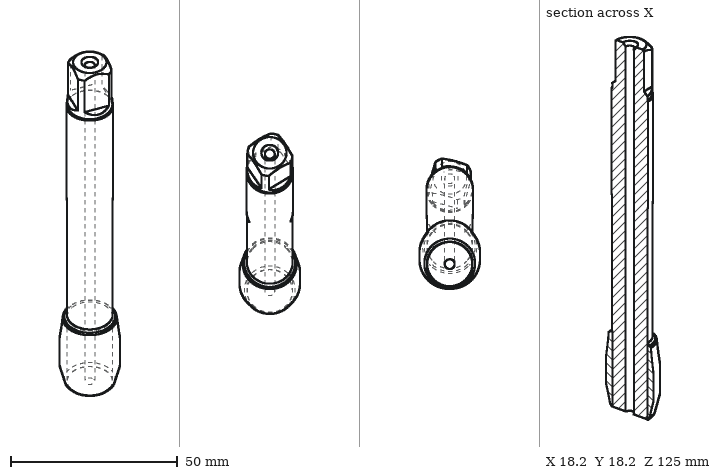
import cadquery as cq

total_height = 125.0

head_diameter = 18.2
head_tip_diameter = 15.2
head_foot_diameter = 13.8
head_top = 25.4
head_top_chamfer = 0.5
barrel_top = 16.4
barrel_bottom = 7.0
foot_chamfer_height = 0.9

shank_diameter = 14.0
relief_diameter = 13.8
neck_diameter = 13.5
neck_base = 108.0
neck_step_height = 0.4
relief_top = 72.1
relief_bottom = 71.4
collar_height = 0.8
collar_radius = relief_diameter / 2 + collar_height
core_diameter = 13.5

square_width = 11.0
flat_bottom = 111.0
drive_top_diameter = 10.0
drive_chamfer_height = 1.8

bore_diameter = 3.0
countersink_diameter = 5.0
countersink_depth = 1.1


def revolve_profile(points):
    """Revolve (radius, height) points about the Z axis."""
    return cq.Workplane("XZ").polyline(points).close().revolve(360, (0, 0, 0), (0, 1, 0))


def make_shank_blank():
    shank_radius = shank_diameter / 2
    relief_radius = relief_diameter / 2
    core_radius = core_diameter / 2
    neck_radius = neck_diameter / 2
    return revolve_profile([
        (0, 0),
        (core_radius, 0),
        (core_radius, head_top),
        (collar_radius, head_top),
        (relief_radius, head_top + collar_height),
        (relief_radius, relief_bottom),
        (shank_radius, relief_top),
        (shank_radius, neck_base),
        (neck_radius, neck_base + neck_step_height),
        (neck_radius, total_height - drive_chamfer_height),
        (drive_top_diameter / 2, total_height),
        (0, total_height),
    ])


def make_flat_cutter():
    """Cutter for one drive flat on the +X side, ending in a 45 degree run-out."""
    flat_offset = square_width / 2
    shank_radius = shank_diameter / 2
    runout_length = shank_radius - flat_offset
    return (
        cq.Workplane("XZ")
        .polyline([
            (flat_offset, flat_bottom),
            (shank_radius, flat_bottom - runout_length),
            (shank_radius, total_height),
            (flat_offset, total_height),
        ])
        .close()
        .extrude(shank_radius, both=True)
    )


def make_bore_cutter():
    bore_radius = bore_diameter / 2
    return revolve_profile([
        (0, 0),
        (bore_radius, 0),
        (bore_radius, total_height - countersink_depth),
        (countersink_diameter / 2, total_height),
        (0, total_height),
    ])


def make_shank():
    shank = make_shank_blank()
    for side in range(4):
        shank = shank.cut(make_flat_cutter().rotate((0, 0, 0), (0, 0, 1), 90 * side))
    return shank.cut(make_bore_cutter())


def make_head():
    socket_radius = core_diameter / 2
    return revolve_profile([
        (socket_radius, 0),
        (head_foot_diameter / 2, 0),
        (head_tip_diameter / 2, foot_chamfer_height),
        (head_diameter / 2, barrel_bottom),
        (head_diameter / 2, barrel_top),
        (collar_radius + head_top_chamfer, head_top - head_top_chamfer),
        (collar_radius, head_top),
        (socket_radius, head_top),
    ])


shank = make_shank()
head = make_head()
result = cq.Compound.makeCompound([shank.val(), head.val()])